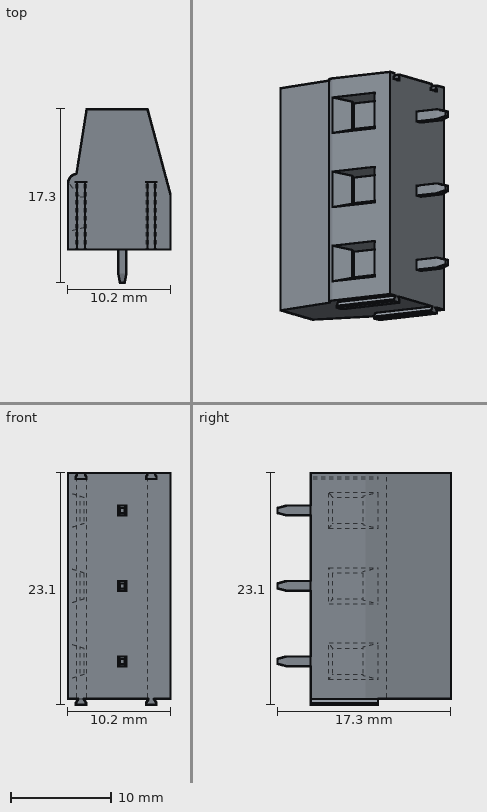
import cadquery as cq

pole_count = 3
pole_pitch = 7.5
housing_width = 10.2
housing_depth = 14.0
housing_height = 22.5

back_left_x = 1.85
back_right_x = 7.92
right_knee_y = 5.5
shoulder_y = 6.72
shoulder_size = 0.83
shoulder_radius = 1.0

dovetail_centers_x = (1.3, 8.3)
dovetail_height = 0.6
dovetail_flat = 0.18
dovetail_width = 1.06
dovetail_neck_width = 0.55
groove_mouth_radius = 0.15

pocket_bottom_y = 1.8
pocket_height = 3.6
pocket_depth = 1.6
pocket_side_draft = 0.5
pocket_bottom_draft = 0.4
ramp_end_y = 5.22
ramp_depth = 1.2

pin_x = 5.4
pin_width = 0.83
pin_height = 1.0
pin_length = 3.3
pin_tip_length = 0.9
pin_tip_width = 0.49
pin_tip_height = 0.5

first_pole_z = (housing_height - (pole_count - 1) * pole_pitch) / 2
pole_heights = [first_pole_z + i * pole_pitch for i in range(pole_count)]


def make_housing():
    """Housing outline seen from above, with a rounded shoulder on the left, extruded upward."""
    return (
        cq.Workplane("XY")
        .lineTo(housing_width, 0)
        .lineTo(housing_width, right_knee_y)
        .lineTo(back_right_x, housing_depth)
        .lineTo(back_left_x, housing_depth)
        .lineTo(shoulder_size, shoulder_y + shoulder_size)
        .radiusArc((0, shoulder_y), -shoulder_radius)
        .close()
        .extrude(housing_height)
    )


def make_dovetail(center_x, neck_z):
    """Dovetail bar hanging down from neck_z, running back from the front face."""
    flare_z = neck_z - dovetail_height + dovetail_flat
    base_z = neck_z - dovetail_height
    right_side = [
        (center_x + dovetail_neck_width / 2, neck_z),
        (center_x + dovetail_width / 2, flare_z),
        (center_x + dovetail_width / 2, base_z),
    ]
    left_side = [(2 * center_x - x, z) for x, z in reversed(right_side)]
    return cq.Workplane("XZ").polyline(right_side + left_side).close().extrude(-shoulder_y)


def make_pocket(center_z):
    """Drafted recess whose back end is a sloped ramp with a short step at its foot."""
    taper = (
        cq.Workplane("YZ")
        .center((pocket_bottom_y + shoulder_y) / 2, center_z)
        .rect(shoulder_y - pocket_bottom_y, pocket_height)
        .workplane(offset=pocket_depth)
        .center(pocket_bottom_draft / 2, 0)
        .rect(shoulder_y - pocket_bottom_y - pocket_bottom_draft, pocket_height - 2 * pocket_side_draft)
        .loft(ruled=True)
    )
    ramp_profile = (
        cq.Workplane("XY", origin=(0, 0, center_z))
        .moveTo(0, pocket_bottom_y)
        .lineTo(0, shoulder_y)
        .lineTo(ramp_depth, ramp_end_y)
        .lineTo(pocket_depth, ramp_end_y)
        .lineTo(pocket_depth, pocket_bottom_y)
        .close()
        .extrude(pocket_height / 2, both=True)
    )
    return taper.intersect(ramp_profile)


def make_pin(center_z):
    """Rectangular pin pointing forward, with a tapered tip."""
    shank_length = pin_length - pin_tip_length
    shank = (
        cq.Workplane("XZ", origin=(pin_x, 0, center_z))
        .rect(pin_width, pin_height)
        .extrude(shank_length)
    )
    return (
        shank.faces("<Y").workplane()
        .rect(pin_width, pin_height)
        .workplane(offset=pin_tip_length)
        .rect(pin_tip_width, pin_tip_height)
        .loft(ruled=True)
    )


result = make_housing()

for dovetail_x in dovetail_centers_x:
    result = result.union(make_dovetail(dovetail_x, 0))
    result = result.cut(make_dovetail(dovetail_x, housing_height))

groove_mouth_edges = result.faces(">Z").edges("|Y").edges(
    cq.selectors.BoxSelector(
        (dovetail_centers_x[0] - dovetail_width, 0, housing_height - dovetail_height),
        (dovetail_centers_x[-1] + dovetail_width, shoulder_y, housing_height + dovetail_height),
    )
)
result = groove_mouth_edges.fillet(groove_mouth_radius)

for pole_z in pole_heights:
    result = result.cut(make_pocket(pole_z))
    result = result.union(make_pin(pole_z))